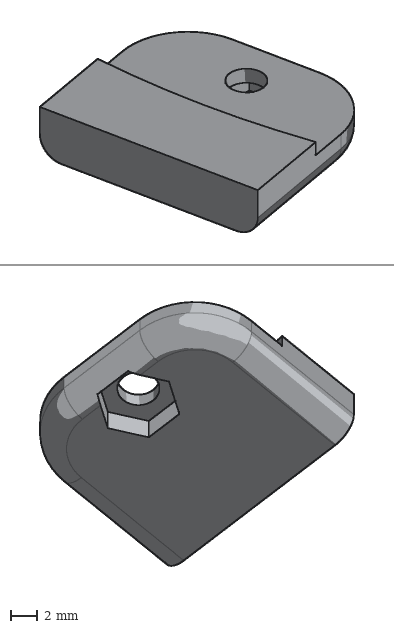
import cadquery as cq
import math

width = 20.0
depth = 17.2
height = 4.5

corner_radius = 6.0
bottom_fillet = 2.0

shelf_height = 3.3
step_side_y = 7.85
step_middle_y = 7.2

hole_diameter = 3.2
hole_from_back = 4.0

nut_across_flats = 5.6
nut_pocket_depth = 2.0

half_width = width / 2
hole_y = depth - hole_from_back
nut_across_corners = nut_across_flats / math.cos(math.radians(30))


def make_body():
    """Block with rounded back corners and a rounded underside, flat at the front."""
    block = cq.Workplane("XY").box(width, depth, height, centered=(True, False, False))
    block = block.edges("|Z and >Y").fillet(corner_radius)
    underside_edges = block.faces("<Z").edges("not(<Y)")
    return underside_edges.fillet(bottom_fillet)


def make_shelf_cut():
    """Material above the shelf, bounded in front by a shallow arc."""
    return (
        cq.Workplane("XY")
        .workplane(offset=shelf_height)
        .moveTo(-half_width, step_side_y)
        .threePointArc((0, step_middle_y), (half_width, step_side_y))
        .lineTo(half_width, depth)
        .lineTo(-half_width, depth)
        .close()
        .extrude(height - shelf_height)
    )


def make_hole():
    return (
        cq.Workplane("XY")
        .center(0, hole_y)
        .circle(hole_diameter / 2)
        .extrude(height)
    )


def make_nut_pocket():
    """Hexagonal recess opening through the underside."""
    return (
        cq.Workplane("XY")
        .center(0, hole_y)
        .polygon(6, nut_across_corners)
        .extrude(nut_pocket_depth)
    )


result = make_body().cut(make_shelf_cut()).cut(make_hole()).cut(make_nut_pocket())